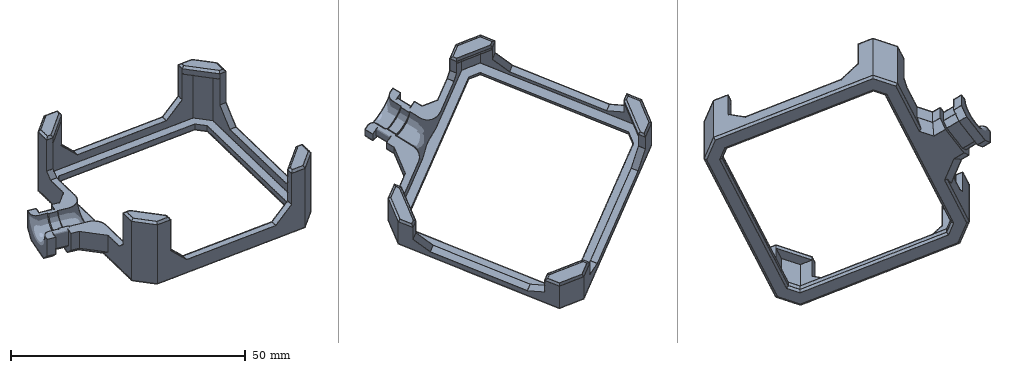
import cadquery as cq
import math

overall_length = 57.0
frame_size = 45.25
frame_height = 16.8
corner_cut = 4.0
wall = 1.6
ledge_reach = 3.6
ledge_height = 2.0
edge_bevel = 0.5
half_frame = frame_size / 2

post_width = 7.4
knee_height = 8.0
rail_height = 4.0
front_rail_height = 6.5
cap_height = 1.95

tilt = 10.0
nozzle_width = 11.0
nozzle_bevel = 2.0
flare_start = 3.55
flange_thickness = 2.0
groove_length = 3.5
groove_depth = 1.2
core_top_round = 0.55
half_nozzle = nozzle_width / 2
tilt_sin = math.sin(math.radians(tilt))
tilt_cos = math.cos(math.radians(tilt))
nozzle_length = (overall_length - frame_size - half_nozzle * tilt_sin) / tilt_cos
groove_end = nozzle_length - flange_thickness
groove_start = groove_end - groove_length

bore_radius = 3.0
ridge_radius = 2.8
ridge_start = 4.8
ridge_end = 7.35
ridge_taper = 0.2
mouth_round = 1.5
inlet_round = 3.0
bore_inner_reach = 2.3


def frame_prism(inset, bottom, top):
    """Octagonal prism whose sides lie a given distance inside the frame."""
    size = frame_size - 2 * inset
    corner = corner_cut - inset * (2 - math.sqrt(2))
    return (
        cq.Workplane("XY", origin=(0, 0, bottom))
        .rect(size, size)
        .extrude(top - bottom)
        .edges("|Z")
        .chamfer(corner)
    )


def rail_window(plane, rail_top, reach):
    """Opening between two posts, with 45 degree knees down to the rail."""
    half_opening = half_frame - post_width
    knee = knee_height - rail_top
    return (
        cq.Workplane(plane)
        .moveTo(-half_opening, frame_height)
        .lineTo(-half_opening, knee_height)
        .lineTo(-half_opening + knee, rail_top)
        .lineTo(half_opening - knee, rail_top)
        .lineTo(half_opening, knee_height)
        .lineTo(half_opening, frame_height)
        .close()
        .extrude(reach)
    )


def post_caps():
    """Four corner caps, each closed inside by a 45 degree face."""
    post_edge = half_frame - post_width
    wall_inside = half_frame - wall
    cap_base = frame_height - cap_height
    cap = (
        cq.Workplane("XY", origin=(0, 0, cap_base))
        .polyline([
            (post_edge, wall_inside),
            (post_edge, half_frame),
            (half_frame - corner_cut, half_frame),
            (half_frame, half_frame - corner_cut),
            (half_frame, post_edge),
            (wall_inside, post_edge),
        ])
        .close()
        .extrude(cap_height)
    )
    caps = cap
    for turn in (90, 180, 270):
        caps = caps.union(cap.rotate((0, 0, 0), (0, 0, 1), turn))
    return caps


def build_frame():
    frame = frame_prism(0, 0, frame_height)
    frame = frame.cut(frame_prism(wall, ledge_height, frame_height))
    frame = frame.cut(frame_prism(ledge_reach, 0, ledge_height))
    frame = frame.faces("<Z").edges().chamfer(edge_bevel)
    frame = frame.cut(rail_window("XZ", front_rail_height, half_frame))
    frame = frame.cut(rail_window("XZ", rail_height, -half_frame))
    for side in (half_frame, -half_frame):
        frame = frame.cut(rail_window("YZ", rail_height, side))
    frame = frame.union(post_caps())
    return frame.faces(">Z").edges().chamfer(edge_bevel)


def along_nozzle(distance, sideways):
    """Plan position from a distance along the nozzle axis and an offset across it."""
    x = sideways * tilt_cos - distance * tilt_sin
    y = -half_frame - distance * tilt_cos - sideways * tilt_sin
    return x, y


def tilt_nozzle(shape):
    """Move a shape built along -Y from the origin onto the nozzle axis."""
    return shape.rotate((0, 0, 0), (0, 0, 1), -tilt).translate((0, -half_frame, front_rail_height))


def nozzle_body():
    """Flared block with bevelled lower sides, rooted in the front rail."""
    root_y = wall - half_frame
    left_x, left_y = along_nozzle(flare_start, -half_nozzle)
    right_x, right_y = along_nozzle(flare_start, half_nozzle)
    plan = [
        (left_x - (root_y - left_y), root_y),
        (left_x, left_y),
        along_nozzle(nozzle_length, -half_nozzle),
        along_nozzle(nozzle_length, half_nozzle),
        (right_x, right_y),
        (right_x + (root_y - right_y), root_y),
    ]
    end_edge = cq.selectors.ParallelDirSelector(cq.Vector(tilt_cos, -tilt_sin, 0))
    root_edge = cq.selectors.ParallelDirSelector(cq.Vector(1, 0, 0))
    return (
        cq.Workplane("XY")
        .polyline(plan)
        .close()
        .extrude(front_rail_height)
        .faces("<Z")
        .edges(-(end_edge + root_edge))
        .chamfer(nozzle_bevel)
    )


def groove():
    """Groove around the nozzle that leaves a smaller core of the same shape."""
    core_width = nozzle_width - 2 * groove_depth
    core_height = front_rail_height - groove_depth
    core_bevel = nozzle_bevel - groove_depth * (2 - math.sqrt(2))
    middle = -(groove_start + groove_end) / 2
    core = (
        cq.Workplane("XY")
        .box(core_width, groove_length, core_height, centered=(True, True, False))
        .translate((0, middle, -core_height))
        .edges("|Y and <Z")
        .chamfer(core_bevel)
        .edges("|Y and >Z")
        .fillet(core_top_round)
    )
    blank = (
        cq.Workplane("XY")
        .box(2 * nozzle_width, groove_length, 2 * front_rail_height)
        .translate((0, middle, 0))
    )
    return tilt_nozzle(blank.cut(core))


def bore():
    """Revolved bore with an inner ridge and a rounded outer mouth."""
    cutter = (
        cq.Workplane("XY")
        .moveTo(0, bore_inner_reach)
        .lineTo(bore_radius, bore_inner_reach)
        .lineTo(bore_radius, -ridge_start)
        .lineTo(ridge_radius, -ridge_start - ridge_taper)
        .lineTo(ridge_radius, -ridge_end + ridge_taper)
        .lineTo(bore_radius, -ridge_end)
        .lineTo(bore_radius, mouth_round - nozzle_length)
        .radiusArc((bore_radius + mouth_round, -nozzle_length), -mouth_round)
        .lineTo(0, -nozzle_length)
        .close()
        .revolve(360, (0, 0, 0), (0, 1, 0))
    )
    return tilt_nozzle(cutter)


def inlet():
    """Rounded entry where the bore meets the inside of the front rail, above the ledge."""
    depth = 2 * inlet_round
    width = 4 * depth
    block = (
        cq.Workplane("XY")
        .box(width, depth, width, centered=(True, True, False))
        .translate((0, wall - half_frame - depth / 2, front_rail_height - width))
    )
    drill = cq.Workplane("XZ").circle(bore_radius).extrude(width, both=True)
    rounded = (
        block.cut(tilt_nozzle(drill))
        .faces(">Y")
        .edges("%ELLIPSE")
        .fillet(inlet_round)
    )
    above_ledge = (
        cq.Workplane("XY")
        .box(width, width, frame_height, centered=(True, True, False))
        .translate((0, -half_frame, ledge_height))
    )
    return block.cut(rounded).cut(bore()).intersect(above_ledge)


result = build_frame().union(nozzle_body()).cut(groove()).cut(inlet()).cut(bore())